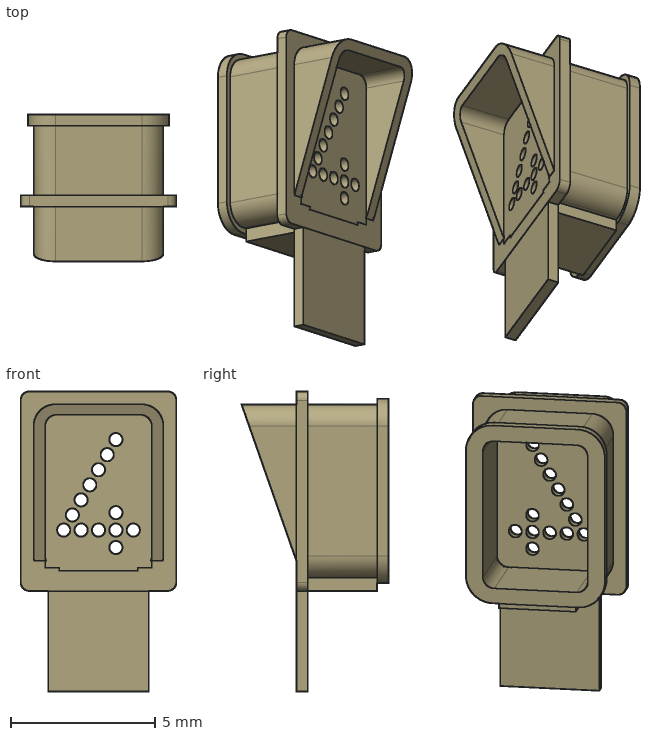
import cadquery as cq
import math

sheet_thickness = 0.4
rim_front = 2.8
rim_back = rim_front + sheet_thickness
hood_depth = 1.9

flange_width = 5.4
flange_bottom = 3.48
flange_top = 10.4
flange_radius = 0.3
tab_width = 3.48

drum_width = 4.49
drum_bottom = 3.95
drum_top = 9.95
drum_radius = 0.75
rim_overhang = 0.2
hood_foot = 4.52

bore_width = 3.69
bore_bottom = 4.3
bore_top = 9.59
bore_radius = 0.4
key_width = 2.7
key_drop = 0.1

dot_diameter = 0.45
dot_pitch = 0.6
dot_row_z = 5.6
dot_stroke_angle = math.radians(60)
dots_per_stroke = 7
dots_per_row = 5


def block(width, bottom, top, front, back):
    """Box centred on X, spanning the given Z and Y ranges."""
    size = (width, back - front, top - bottom)
    return cq.Workplane("XY").box(*size, centered=(True, False, False)).translate((0, front, bottom))


def rounded_block(width, bottom, top, radius, front, back):
    """Block with its four edges along Y rounded."""
    return block(width, bottom, top, front, back).edges("|Y").fillet(radius)


def make_bore(front, back):
    return rounded_block(bore_width, bore_bottom, bore_top, bore_radius, front, back)


def panel_blank():
    """Panel outline: round top corners, square bottom corners and a key below."""
    plate = block(bore_width, bore_bottom, bore_top, 0, sheet_thickness)
    plate = plate.edges("|Y and >Z").fillet(bore_radius)
    key = block(key_width, bore_bottom - key_drop, bore_bottom, 0, sheet_thickness)
    return plate.union(key)


def make_hood():
    """Front end of the drum, cut by a plane from its top tip to its foot on the flange."""
    hood = rounded_block(drum_width, drum_bottom, drum_top, drum_radius, -hood_depth, 0)
    wedge = (
        cq.Workplane("YZ")
        .polyline([(0, hood_foot), (0, drum_top), (-hood_depth, drum_top)])
        .close()
        .extrude(drum_width / 2, both=True)
    )
    return hood.intersect(wedge).cut(make_bore(-hood_depth, 0))


def make_housing():
    flange = rounded_block(flange_width, flange_bottom, flange_top, flange_radius, 0, sheet_thickness)
    drum = rounded_block(drum_width, drum_bottom, drum_top, drum_radius, sheet_thickness, rim_back)
    rim = rounded_block(
        drum_width + 2 * rim_overhang,
        drum_bottom - rim_overhang,
        drum_top + rim_overhang,
        drum_radius + rim_overhang,
        rim_front,
        rim_back,
    )
    lug = block(key_width, flange_bottom, bore_bottom, sheet_thickness, rim_front)
    sleeve = flange.union(drum).union(rim).union(lug).cut(make_bore(sheet_thickness, rim_back))
    return sleeve.cut(panel_blank()).union(make_hood())


def dot_centres():
    """X and Z of every perforation, each listed once."""
    row_start = -dot_pitch * (dots_per_row - 1) / 2
    column_x = dot_pitch
    centres = [(row_start + i * dot_pitch, dot_row_z) for i in range(dots_per_row)]
    for i in range(1, dots_per_stroke):
        reach = i * dot_pitch
        x = row_start + reach * math.cos(dot_stroke_angle)
        z = dot_row_z + reach * math.sin(dot_stroke_angle)
        centres.append((x, z))
    for side in (-1, 1):
        centres.append((column_x, dot_row_z + side * dot_pitch))
    return centres


def make_panel():
    dots = (
        cq.Workplane("XZ")
        .pushPoints(dot_centres())
        .circle(dot_diameter / 2)
        .extrude(-sheet_thickness)
    )
    return panel_blank().cut(dots)


def make_tab():
    return block(tab_width, 0, flange_bottom, 0, sheet_thickness)


housing = make_housing()
panel = make_panel()
tab = make_tab()

result = cq.Compound.makeCompound([housing.val(), panel.val(), tab.val()])